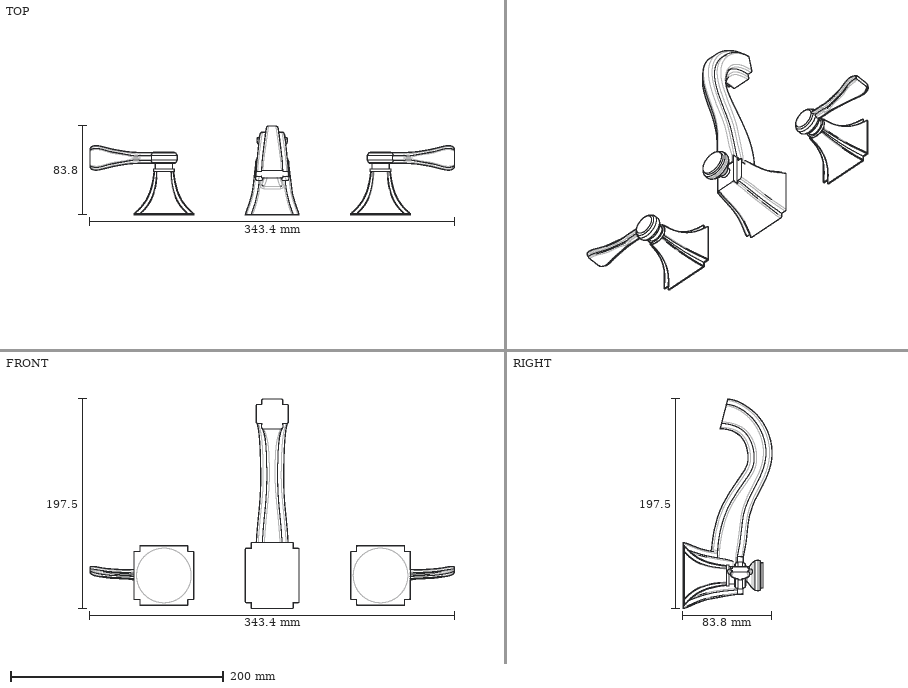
import cadquery as cq
import math


HANDLE_X = 102.0
HANDLE_BASE_HALF = 28.0
HANDLE_LIP = 1.0
HANDLE_BASE_TOP = 41.0
HANDLE_BASE_SECTIONS = [
    (HANDLE_LIP, HANDLE_BASE_HALF, 5.5),
    (5.5, 23.5, 5.0),
    (11.7, 18.2, 4.5),
    (20.3, 13.7, 3.8),
    (31.5, 10.5, 3.0),
    (HANDLE_BASE_TOP, 9.3, 2.5),
]
HANDLE_ROUND = 0.7
MOUNT_RADIUS = 25.8

COLLAR_RADIUS = 10.0
COLLAR_TOP = 43.3
NECK_RADIUS = 8.2
HUB_BOTTOM = 48.0
HUB_TOP = 59.0
HUB_RADIUS = 12.7
HUB_FACE_RADIUS = 9.5
HUB_BEVEL = 3.5
HUB_EDGE_RADIUS = 11.5
HUB_EDGE_DROP = 1.0
HUB_MIDDLE = (HUB_BOTTOM + HUB_TOP) / 2

SHAFT_START = -107.0
SHAFT_HALF_Y = 5.0

GRIP_SECTIONS = [
    (-124.3, SHAFT_HALF_Y, 1.0, 4.5, 2.7, 1.0),
    (-135.5, 6.0, 1.0, 4.5, 2.7, 1.0),
    (-145.0, 7.2, 1.5, 4.5, 2.7, 1.0),
    (-154.5, 9.3, 2.0, 4.5, 2.7, 1.0),
    (-165.5, 11.7, 3.8, 4.5, 2.7, 1.0),
    (-170.0, 10.5, 4.8, 3.8, 2.5, 1.0),
    (-171.7, 8.5, 5.5, 2.5, 1.5, 0.7),
]

SPOUT_BASE_SECTIONS = [
    (0.0, 25.5, -31.3, 31.3, 5.5),
    (11.0, 21.5, -26.8, 27.0, 5.5),
    (18.0, 19.5, -24.0, 24.7, 5.0),
    (31.0, 17.5, -21.0, 22.0, 5.0),
    (41.2, 16.5, -19.2, 20.0, 4.8),
    (56.3, 14.5, -18.0, 18.2, 4.5),
]
SPOUT_DEPTH = SPOUT_BASE_SECTIONS[-1][0]
SPOUT_BASE_ROUND = 1.5
BACK_STEP_X = 10.0
BACK_STEP_Y = 51.2

SPOUT_SECTIONS = [
    ((26.5, 8.5), (57.0, 8.5), 15.8, 6.0, 1.7),
    ((26.5, 22.3), (57.7, 22.3), 15.5, 6.0, 1.7),
    ((29.2, 43.3), (59.8, 35.0), 14.5, 6.0, 2.0),
    ((36.5, 65.3), (62.5, 56.3), 12.5, 6.0, 2.0),
    ((49.8, 87.5), (70.7, 77.0), 11.0, 6.0, 2.5),
    ((60.0, 104.5), (80.0, 96.0), 11.0, 6.0, 2.5),
    ((60.8, 114.7), (83.8, 114.7), 11.5, 6.0, 2.5),
    ((54.0, 131.2), (69.0, 151.8), 13.0, 5.5, 2.0),
    ((46.7, 136.0), (57.0, 161.0), 14.0, 5.0, 1.7),
    ((34.7, 138.0), (42.0, 166.2), 15.0, 5.0, 1.5),
]

NECK_FILLET = 1.7

KNOB_PROFILE = [
    (0.0, 53.2),
    (5.0, 53.2),
    (5.0, 59.0),
    (6.2, 60.5),
    (11.7, 64.5),
    (13.5, 66.5),
    (14.0, 67.5),
    (14.5, 69.7),
    (14.5, 70.7),
    (14.0, 72.5),
    (12.0, 73.0),
    (12.0, 75.2),
    (0.0, 75.2),
]


def stepped_wire(plane, half_x, half_y, step, round_radius):
    """Rectangle with a square step in each corner and the two outer corners of each step rounded."""
    edge = round_radius
    bend = round_radius * (1 - math.sqrt(0.5))
    corner = [
        (half_x, half_y - step - edge),
        (half_x - bend, half_y - step - bend),
        (half_x - edge, half_y - step),
        (half_x - step, half_y - step),
        (half_x - step, half_y - edge),
        (half_x - step - bend, half_y - bend),
        (half_x - step - edge, half_y),
    ]
    sketch = cq.Workplane(plane).moveTo(*corner[0])
    for sign_x, sign_y in [(1, 1), (-1, 1), (-1, -1), (1, -1)]:
        points = [(sign_x * x, sign_y * y) for x, y in corner]
        if sign_x * sign_y < 0:
            points.reverse()
        if (sign_x, sign_y) != (1, 1):
            sketch = sketch.lineTo(*points[0])
        sketch = sketch.threePointArc(points[1], points[2])
        sketch = sketch.lineTo(*points[3]).lineTo(*points[4])
        sketch = sketch.threePointArc(points[5], points[6])
    return sketch.close().val()


def wall_plane(x, y, z):
    """Plane parallel to the mounting plane, its normal along +Y."""
    return cq.Plane(origin=(x, y, z), xDir=(1, 0, 0), normal=(0, 1, 0))


def turned(profile, x):
    """Solid of revolution about the line through X = x along Y, from (radius, Y) points."""
    return cq.Workplane("XY").polyline(profile).close().revolve(360, (0, 0), (0, 1)).translate((x, 0, 0))


def handle_base():
    wires = [
        stepped_wire(wall_plane(-HANDLE_X, y, 0), half, half, step, HANDLE_ROUND)
        for y, half, step in HANDLE_BASE_SECTIONS
    ]
    flare = cq.Workplane(cq.Solid.makeLoft(wires))
    foot_step = HANDLE_BASE_SECTIONS[0][2]
    foot_plane = wall_plane(-HANDLE_X, 0, 0)
    foot = stepped_wire(foot_plane, HANDLE_BASE_HALF, HANDLE_BASE_HALF, foot_step, HANDLE_ROUND)
    lip = cq.Workplane(cq.Solid.extrudeLinear(foot, [], cq.Vector(0, HANDLE_LIP, 0)))
    return flare.union(lip)


def handle_hub():
    return turned(
        [
            (0, HANDLE_BASE_TOP),
            (COLLAR_RADIUS, HANDLE_BASE_TOP),
            (COLLAR_RADIUS, COLLAR_TOP),
            (NECK_RADIUS, COLLAR_TOP),
            (NECK_RADIUS, HUB_BOTTOM),
            (HUB_FACE_RADIUS, HUB_BOTTOM),
            (HUB_EDGE_RADIUS, HUB_BOTTOM + HUB_EDGE_DROP),
            (HUB_RADIUS, HUB_BOTTOM + HUB_BEVEL),
            (HUB_RADIUS, HUB_TOP - HUB_BEVEL),
            (HUB_EDGE_RADIUS, HUB_TOP - HUB_EDGE_DROP),
            (HUB_FACE_RADIUS, HUB_TOP),
            (0, HUB_TOP),
        ],
        -HANDLE_X,
    )


def lever_wire(section):
    x, half_y, z, half_z, step, rounding = section
    plane = cq.Plane(origin=(x, HUB_MIDDLE, z), xDir=(0, 1, 0), normal=(-1, 0, 0))
    return stepped_wire(plane, half_y, half_z, step, rounding)


def lever():
    grip = cq.Workplane(cq.Solid.makeLoft([lever_wire(section) for section in GRIP_SECTIONS]))
    grip_start = GRIP_SECTIONS[0]
    shaft_run = cq.Vector(SHAFT_START - grip_start[0], 0, 0)
    shaft = cq.Workplane(cq.Solid.extrudeLinear(lever_wire(grip_start), [], shaft_run))
    return grip.union(shaft)


def left_handle():
    handle = handle_base().union(handle_hub()).union(lever())
    mount = turned([(0, 0), (MOUNT_RADIUS, 0), (MOUNT_RADIUS, HANDLE_LIP), (0, HANDLE_LIP)], -HANDLE_X)
    return handle.union(mount, clean=False)


def spout_base():
    wires = []
    for y, half_width, bottom, top, step in SPOUT_BASE_SECTIONS:
        plane = wall_plane(0, y, (bottom + top) / 2)
        wires.append(stepped_wire(plane, half_width, (top - bottom) / 2, step, SPOUT_BASE_ROUND))
    base = cq.Workplane(cq.Solid.makeLoft(wires))
    for side in (-1, 1):
        cutter = cq.Workplane("XY").box(SPOUT_DEPTH, SPOUT_DEPTH, 2 * SPOUT_DEPTH)
        centre_x = side * (BACK_STEP_X + SPOUT_DEPTH / 2)
        base = base.cut(cutter.translate((centre_x, BACK_STEP_Y + SPOUT_DEPTH / 2, 0)))
    return base


def spout_neck():
    wires = []
    for front, back, half_width, step, rounding in SPOUT_SECTIONS:
        depth_y = back[0] - front[0]
        depth_z = back[1] - front[1]
        middle = (0, (front[0] + back[0]) / 2, (front[1] + back[1]) / 2)
        plane = cq.Plane(origin=middle, xDir=(1, 0, 0), normal=(0, -depth_z, depth_y))
        half_depth = math.hypot(depth_y, depth_z) / 2
        wires.append(stepped_wire(plane, half_width, half_depth, step, rounding))
    return cq.Workplane(cq.Solid.makeLoft(wires))


def spout_body():
    body = spout_base().union(spout_neck())
    front = SPOUT_SECTIONS[1][0]
    inner_corner = cq.selectors.NearestToPointSelector((0, *front))
    return body.edges(inner_corner).fillet(NECK_FILLET).union(turned(KNOB_PROFILE, 0))


spout = spout_body()
handle = left_handle()
handles = [handle, handle.mirror("YZ")]

result = cq.Compound.makeCompound([spout.val(), *[copy.val() for copy in handles]])